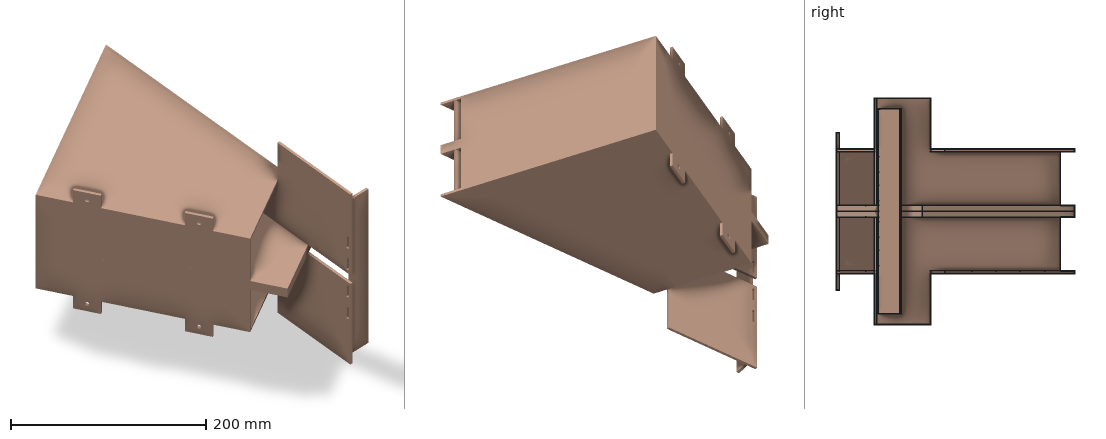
import cadquery as cq
import math

total_length = 336.5
total_depth = 243.7
total_height = 232.0

sheet = 3.0
divider_thickness = 2 * sheet

rear_angle = 30.0
cover_length = 230.0
divider_length = 270.0
bay_height = 55.0
cover_bottom = divider_thickness + bay_height
cover_top = cover_bottom + sheet

mount_tab_starts = (40.0, 160.0)
mount_tab_width = 30.0
mount_tab_height = 20.0
mount_hole_diameter = 5.0
mount_hole_drop = 10.0

side_panel_end = 220.5
side_tab_starts = (30.0, 150.8)
side_tab_width = 40.5

rear_setback = 11.8
rear_tab_starts = (31.5, 131.0)
rear_tab_width = 50.0
flap_length = 110.0
flap_top = total_height / 2

lip_edge_margin = sheet
lip_half_height = 105.0
lip_slot_starts = (10.8, 40.0)
lip_slot_width = 15.8

slope_cos = math.cos(math.radians(rear_angle))
slope_sin = math.sin(math.radians(rear_angle))
slope_tan = slope_sin / slope_cos

rear_face_start = total_depth - (rear_setback + sheet) / slope_cos
slope_plane = cq.Plane(
    origin=(0, rear_face_start, 0),
    xDir=(slope_cos, -slope_sin, 0),
    normal=(-slope_sin, -slope_cos, 0),
)
step_position = cover_length / slope_cos
flap_end = step_position + flap_length
lip_position = flap_end - lip_edge_margin - sheet

lip_outer_corner_x = (lip_position + sheet) * slope_cos
lip_depth = (total_length - lip_outer_corner_x) / slope_sin


def block(x_start, x_end, y_start, y_end, z_start, z_end):
    """Box between two opposite corners."""
    size = (x_end - x_start, y_end - y_start, z_end - z_start)
    return cq.Workplane("XY").box(*size, centered=False).translate((x_start, y_start, z_start))


def slope_block(along_start, along_end, z_start, z_end, depth_start, depth_end):
    """Box in the slanted frame; depths are measured back from the panels' front face."""
    return (
        cq.Workplane(slope_plane)
        .workplane(offset=-depth_end)
        .moveTo(along_start, z_start)
        .lineTo(along_end, z_start)
        .lineTo(along_end, z_end)
        .lineTo(along_start, z_end)
        .close()
        .extrude(depth_end - depth_start)
    )


def wedge_plate(length, z_start, thickness):
    """Horizontal plate with a square front and a slanted rear edge."""
    short_depth = total_depth - length * slope_tan
    outline = [(0, 0), (length, 0), (length, short_depth), (0, total_depth)]
    return cq.Workplane("XY").workplane(offset=z_start).polyline(outline).close().extrude(thickness)


def mirrored_pair(upper):
    """An upper body and its copy mirrored below the middle plane."""
    return [upper.val(), upper.mirror("XY").val()]


def make_front_panel():
    """Upper front panel with two drilled mounting tabs standing above the cover."""
    panel = block(0, cover_length, 0, sheet, divider_thickness, cover_bottom)
    tab_top = cover_bottom + mount_tab_height
    for start in mount_tab_starts:
        tab = block(start, start + mount_tab_width, 0, sheet, cover_bottom, tab_top)
        hole = (
            cq.Workplane("XZ")
            .center(start + mount_tab_width / 2, tab_top - mount_hole_drop)
            .circle(mount_hole_diameter / 2)
            .extrude(-sheet)
        )
        panel = panel.union(tab.cut(hole))
    return panel


def side_tabs(z_start, z_end):
    """The parts of the side panel that cross a plate lying between two heights."""
    first, second = [
        block(0, sheet, start, start + side_tab_width, z_start, z_end) for start in side_tab_starts
    ]
    return first.union(second)


def make_side_panel():
    """Full-height side panel, slotted for the dividers and tabbed into both covers."""
    panel = block(0, sheet, sheet, side_panel_end, -cover_bottom, cover_bottom)
    slots = block(0, sheet, sheet, side_panel_end, -divider_thickness, divider_thickness)
    return panel.cut(slots).union(side_tabs(-cover_top, cover_top))


def make_rear_panel():
    """Upper slanted panel: tabbed into the cover, then stepping up into a tall slotted flap."""
    panel = slope_block(0, step_position, divider_thickness, cover_bottom, 0, sheet)
    for start in rear_tab_starts:
        tab = slope_block(start, start + rear_tab_width, cover_bottom, cover_top, 0, sheet)
        panel = panel.union(tab)
    flap = slope_block(step_position, flap_end, divider_thickness, flap_top, 0, sheet)
    panel = panel.union(flap)
    for start in lip_slot_starts:
        slot = slope_block(lip_position, lip_position + sheet, start, start + lip_slot_width, 0, sheet)
        panel = panel.cut(slot)
    return panel


def make_lip():
    """Strip standing square against the rear face of both flaps, behind their slots."""
    lip_end = lip_position + sheet
    return slope_block(lip_position, lip_end, -lip_half_height, lip_half_height, sheet, lip_depth)


def make_divider():
    """Upper one of the two stacked middle plates, notched for the side panel."""
    plate = wedge_plate(divider_length, 0, divider_thickness)
    return plate.cut(side_tabs(0, divider_thickness))


def make_cover():
    """Top plate with openings for the tabs of the front, side and rear panels."""
    plate = wedge_plate(cover_length, cover_bottom, sheet)
    plate = plate.cut(side_tabs(cover_bottom, cover_top))
    for start in mount_tab_starts:
        plate = plate.cut(block(start, start + mount_tab_width, 0, sheet, cover_bottom, cover_top))
    for start in rear_tab_starts:
        slot = slope_block(start, start + rear_tab_width, cover_bottom, cover_top, 0, sheet)
        plate = plate.cut(slot)
    return plate


dividers = mirrored_pair(make_divider())
covers = mirrored_pair(make_cover())
front_panels = mirrored_pair(make_front_panel())
rear_panels = mirrored_pair(make_rear_panel())
side_panel = make_side_panel()
lip = make_lip()

result = cq.Compound.makeCompound(
    [*dividers, *covers, *front_panels, *rear_panels, side_panel.val(), lip.val()]
)